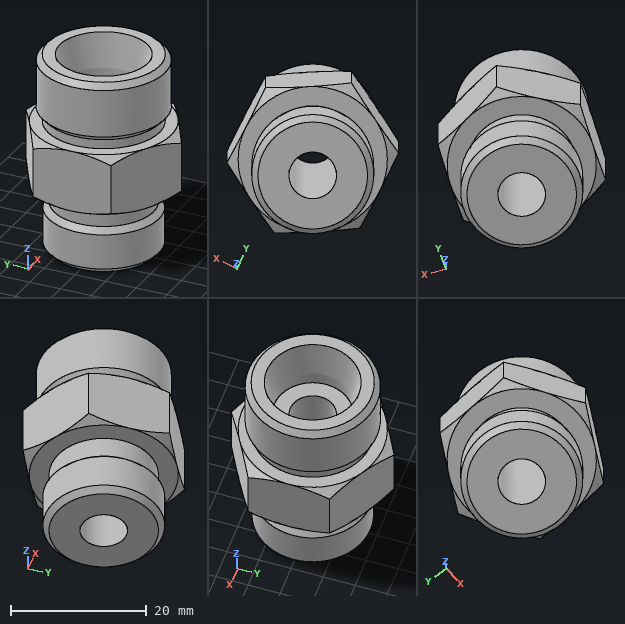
import cadquery as cq
import math

total_length = 32.0
across_flats = 22.0
hex_bottom = 11.05
hex_top = total_length - hex_bottom
hex_chamfer_angle = 30.0

lower_radius = 18.0 / 2
lower_neck_radius = 16.15 / 2
lower_chamfer = lower_radius - lower_neck_radius
lower_shoulder = 7.52

upper_radius = 20.0 / 2
upper_neck_radius = 18.18 / 2
upper_chamfer = upper_radius - upper_neck_radius
upper_shoulder = 22.45

passage_radius = 7.0 / 2
socket_radius = 12.0 / 2
mouth_radius = 14.3 / 2
cone_half_angle = 12.0
socket_depth = 7.52


def revolve_profile(points):
    """Revolve (radius, height) points about the Z axis."""
    return cq.Workplane("XZ").polyline(points).close().revolve(360, (0, 0), (0, 1))


def make_hexagon():
    """Hexagon with corners on Y and conically chamfered ends."""
    corner_radius = across_flats / math.sqrt(3)
    flat_radius = across_flats / 2
    chamfer_height = (corner_radius - flat_radius) * math.tan(math.radians(hex_chamfer_angle))
    prism = (
        cq.Workplane("XY", origin=(0, 0, hex_bottom))
        .polygon(6, 2 * corner_radius)
        .extrude(hex_top - hex_bottom)
        .rotate((0, 0, 0), (0, 0, 1), 90)
    )
    envelope = revolve_profile([
        (0, hex_bottom),
        (flat_radius, hex_bottom),
        (corner_radius, hex_bottom + chamfer_height),
        (corner_radius, hex_top - chamfer_height),
        (flat_radius, hex_top),
        (0, hex_top),
    ])
    return prism.intersect(envelope)


def make_studs():
    """Both threaded ends with 45-degree chamfers, joined through the hexagon."""
    return revolve_profile([
        (0, 0),
        (lower_neck_radius, 0),
        (lower_radius, lower_chamfer),
        (lower_radius, lower_shoulder - lower_chamfer),
        (lower_neck_radius, lower_shoulder),
        (lower_neck_radius, hex_bottom),
        (upper_neck_radius, hex_top),
        (upper_neck_radius, upper_shoulder),
        (upper_radius, upper_shoulder + upper_chamfer),
        (upper_radius, total_length - upper_chamfer),
        (upper_neck_radius, total_length),
        (0, total_length),
    ])


def make_bore():
    """Through passage opening into a socket with a conical mouth at the top."""
    cone_depth = (mouth_radius - socket_radius) / math.tan(math.radians(cone_half_angle))
    socket_floor = total_length - socket_depth
    return revolve_profile([
        (0, 0),
        (passage_radius, 0),
        (passage_radius, socket_floor),
        (socket_radius, socket_floor),
        (socket_radius, total_length - cone_depth),
        (mouth_radius, total_length),
        (0, total_length),
    ])


result = make_hexagon().union(make_studs()).cut(make_bore())